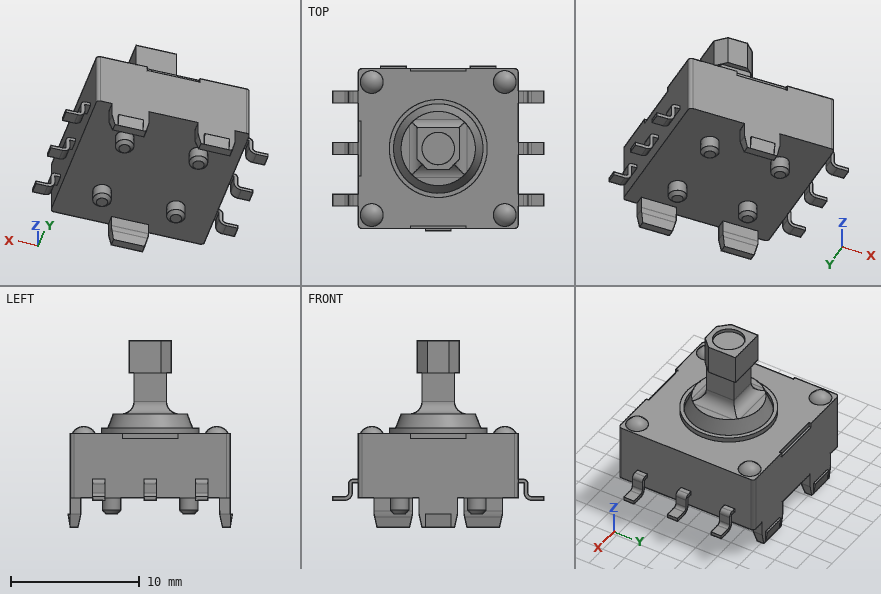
import cadquery as cq
import math

overall_x = 16.4
overall_y = 12.8
overall_z = 14.5

body_side = 12.43
body_height = 5.0
body_corner_radius = 0.28
notch_length = 4.28
notch_height = 0.4
notch_depth = 0.2

rivet_offset = 5.17
rivet_radius = 0.89
rivet_height = 0.54

collar_height = 0.41
collar_outer_radius = 3.8
collar_inner_radius = 3.48
cone_top_radius = 2.89
cone_base_radius = collar_inner_radius
cone_top_z = 6.51

stem_side = 2.53
flare_radius = 0.98
head_side = 3.3
head_height = 2.5
head_chamfer = 0.82
recess_radius = 1.26
recess_depth = 0.28

lead_pitch = 4.0
lead_width = 0.93
lead_thickness = 0.3
lead_shank_x = 6.97
lead_top_z = 1.45
lead_foot_z = -0.2
lead_top_bend_radius = 0.36
lead_foot_bend_radius = 0.28
lead_embed = 0.16

leg_length = 2.3
leg_width = 3.0
leg_thickness = 0.84
leg_taper = 0.23
leg_taper_z = -1.26
leg_bend_radius = 2.21
barb_width = 2.02
back_leg_x = 3.5

pin_offset = 3.0
pin_radius = 0.72
pin_length = 1.25
pin_chamfer = 0.28

half_body = body_side / 2
leg_bottom_z = -leg_length
head_top_z = overall_z - leg_length


def cylinder(radius, bottom_z, top_z):
    """Cylinder on the Z axis between two heights."""
    return cq.Workplane("XY").workplane(offset=bottom_z).circle(radius).extrude(top_z - bottom_z)


def make_housing():
    """Box with rounded vertical edges and a notch in three of its top edges."""
    housing = cq.Workplane("XY").box(body_side, body_side, body_height, centered=(True, True, False))
    housing = housing.edges("|Z").fillet(body_corner_radius)
    notch = cq.Workplane("XY").box(notch_length, 2 * notch_depth, 2 * notch_height)
    notch = notch.translate((0, -half_body, body_height))
    for angle in (0, -90, 180):
        housing = housing.cut(notch.rotate((0, 0, 0), (0, 0, 1), angle))
    return housing


def make_rivet():
    """Spherical cap centred on the Z axis, sitting on the housing."""
    sphere_radius = (rivet_radius**2 + rivet_height**2) / (2 * rivet_height)
    centre_z = body_height + rivet_height - sphere_radius
    sphere = cq.Workplane("XY").sphere(sphere_radius).translate((0, 0, centre_z))
    return sphere.intersect(cylinder(rivet_radius, body_height, body_height + rivet_height))


def make_collar_and_cone():
    """Ring on the housing with a truncated cone rising from inside it."""
    collar_top_z = body_height + collar_height
    collar = cylinder(collar_outer_radius, body_height, collar_top_z)
    collar = collar.cut(cylinder(collar_inner_radius, body_height, collar_top_z))
    cone = (
        cq.Workplane("XZ")
        .moveTo(0, body_height)
        .lineTo(cone_base_radius, body_height)
        .lineTo(cone_top_radius, cone_top_z)
        .lineTo(0, cone_top_z)
        .close()
        .revolve(360, (0, 0, 0), (0, 1, 0))
    )
    return collar.union(cone)


def make_flare():
    """Concave foot of the stem: two crossed profiles, trimmed to the top of the cone."""
    stem_half = stem_side / 2
    foot_half = stem_half + flare_radius
    flare_top_z = cone_top_z + flare_radius
    inset = flare_radius * (1 - math.sqrt(0.5))
    profile = (
        cq.Workplane("XZ")
        .moveTo(-foot_half, cone_top_z)
        .lineTo(foot_half, cone_top_z)
        .threePointArc((stem_half + inset, cone_top_z + inset), (stem_half, flare_top_z))
        .lineTo(-stem_half, flare_top_z)
        .threePointArc((-stem_half - inset, cone_top_z + inset), (-foot_half, cone_top_z))
        .close()
        .extrude(foot_half, both=True)
    )
    crossed_profile = profile.rotate((0, 0, 0), (0, 0, 1), 90)
    flare = profile.intersect(crossed_profile)
    return flare.intersect(cylinder(cone_top_radius, cone_top_z, flare_top_z))


def make_stem():
    """Square stem with its flared foot and its head, which has a round recess on top."""
    head_bottom_z = head_top_z - head_height
    shaft = cq.Workplane("XY").workplane(offset=cone_top_z).rect(stem_side, stem_side)
    shaft = shaft.extrude(head_bottom_z - cone_top_z)
    head = cq.Workplane("XY").workplane(offset=head_bottom_z).rect(head_side, head_side)
    head = head.extrude(head_height).edges("|Z and <Y").chamfer(head_chamfer)
    head = head.cut(cylinder(recess_radius, head_top_z - recess_depth, head_top_z))
    return make_flare().union(shaft).union(head)


def make_lead():
    """Gull-wing lead on the +X side, centred on Y = 0."""
    root_x = half_body - lead_embed
    outer_radius = lead_foot_bend_radius + lead_thickness
    foot_top_z = lead_foot_z + lead_thickness
    shank_inner_x = lead_shank_x - lead_thickness
    foot_bend_x = lead_shank_x + lead_foot_bend_radius
    foot_bend_z = foot_top_z + lead_foot_bend_radius
    return (
        cq.Workplane("XZ")
        .moveTo(root_x, lead_top_z)
        .lineTo(lead_shank_x - lead_top_bend_radius, lead_top_z)
        .radiusArc((lead_shank_x, lead_top_z - lead_top_bend_radius), lead_top_bend_radius)
        .lineTo(lead_shank_x, foot_bend_z)
        .radiusArc((foot_bend_x, foot_top_z), -lead_foot_bend_radius)
        .lineTo(overall_x / 2, foot_top_z)
        .lineTo(overall_x / 2, lead_foot_z)
        .lineTo(foot_bend_x, lead_foot_z)
        .radiusArc((shank_inner_x, foot_bend_z), outer_radius)
        .lineTo(shank_inner_x, lead_top_z - lead_thickness)
        .lineTo(root_x, lead_top_z - lead_thickness)
        .close()
        .extrude(lead_width / 2, both=True)
    )


def make_leg():
    """Tapered snap leg under the -Y side, with a barb on its outer face."""
    half_width = leg_width / 2
    front_outline = (
        cq.Workplane("XZ")
        .moveTo(-half_width, 0)
        .lineTo(half_width, 0)
        .lineTo(half_width, leg_taper_z)
        .lineTo(half_width - leg_taper, leg_bottom_z)
        .lineTo(leg_taper - half_width, leg_bottom_z)
        .lineTo(-half_width, leg_taper_z)
        .close()
        .extrude(half_body)
    )
    inner_y = leg_thickness - half_body
    side_outline = (
        cq.Workplane("YZ")
        .moveTo(-half_body, 0)
        .lineTo(inner_y, 0)
        .lineTo(inner_y, leg_taper_z)
        .lineTo(inner_y - leg_taper, leg_bottom_z)
        .lineTo(-half_body, leg_bottom_z)
        .close()
        .extrude(half_width, both=True)
    )
    inner_bend = cq.selectors.NearestToPointSelector((0, inner_y, leg_taper_z))
    side_outline = side_outline.edges("|X").edges(inner_bend).fillet(leg_bend_radius)
    barb = (
        cq.Workplane("YZ")
        .moveTo(-overall_y / 2, leg_taper_z)
        .lineTo(-half_body, leg_taper_z)
        .lineTo(-half_body, leg_bottom_z)
        .close()
        .extrude(barb_width / 2, both=True)
    )
    return front_outline.intersect(side_outline).union(barb)


def make_pin():
    """Round locating pin on the Z axis with a chamfered tip."""
    return cylinder(pin_radius, -pin_length, 0).faces("<Z").chamfer(pin_chamfer)


result = make_housing().union(make_collar_and_cone()).union(make_stem())

rivet = make_rivet()
for x in (-rivet_offset, rivet_offset):
    for y in (-rivet_offset, rivet_offset):
        result = result.union(rivet.translate((x, y, 0)))

lead = make_lead()
for y in (-lead_pitch, 0, lead_pitch):
    placed_lead = lead.translate((0, y, 0))
    result = result.union(placed_lead).union(placed_lead.mirror("YZ"))

leg = make_leg()
back_leg = leg.mirror("XZ")
result = result.union(leg)
for x in (-back_leg_x, back_leg_x):
    result = result.union(back_leg.translate((x, 0, 0)))

pin = make_pin()
for x in (-pin_offset, pin_offset):
    for y in (-pin_offset, pin_offset):
        result = result.union(pin.translate((x, y, 0)))